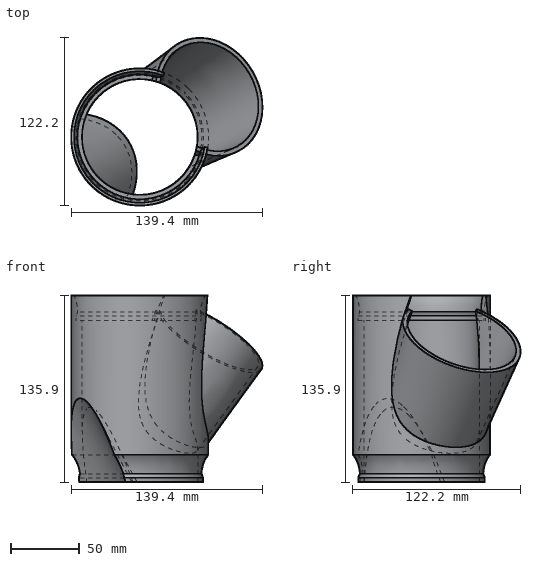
import cadquery as cq
import math

height = 135.9
body_radius = 100.0 / 2
bore_radius = 84.0 / 2

joint_length = 20.1
spigot_radius = 46.1
waist_radius = 45.0
waist_height = 6.1
bead_height = 3.2
socket_mouth_radius = 47.8
socket_depth = 18.1
socket_clearance = 0.3

port_heading = 30
port_elevation = 54.5
port_half_angle = 4.0
port_mouth_radius = 44.9
port_wall = 3.5
port_mouth_offset = 58.4
port_mouth_height = 106.0

recess_mouth_radius = 44.3
stack_pitch = height - joint_length

inward_reach = 139.4
outward_reach = 139.4


def joint_solid(mouth_radius, length, clearance):
    """Solid of revolution with a flared shoulder, a waist and a bead at its foot."""
    waist = waist_radius + clearance
    bead = spigot_radius + clearance
    rise = length - waist_height
    flare = mouth_radius - waist
    arc_radius = (rise**2 + flare**2) / (2 * flare)
    half_sweep = math.asin(rise / arc_radius) / 2
    middle = (
        waist + arc_radius * (1 - math.cos(half_sweep)),
        waist_height + arc_radius * math.sin(half_sweep),
    )
    return (
        cq.Workplane("XZ")
        .moveTo(0, 0)
        .lineTo(bead, 0)
        .lineTo(bead, bead_height)
        .lineTo(waist, waist_height)
        .threePointArc(middle, (mouth_radius, length))
        .lineTo(0, length)
        .close()
        .revolve(360, (0, 0, 0), (0, 1, 0))
    )


def port_cone(mouth_radius, inward, outward):
    """Cone on the port axis, running the given distances inward and outward of the mouth."""
    elevation = math.radians(port_elevation)
    direction = cq.Vector(math.cos(elevation), 0, math.sin(elevation))
    mouth = cq.Vector(port_mouth_offset, 0, port_mouth_height)
    taper = math.tan(math.radians(port_half_angle))
    cone = cq.Solid.makeCone(
        mouth_radius - inward * taper,
        mouth_radius + outward * taper,
        inward + outward,
        mouth - direction * inward,
        direction,
    )
    return cq.Workplane(cone).rotate((0, 0, 0), (0, 0, 1), port_heading)


def move_to_recess(cone):
    """Half a turn about the tube and one stacking pitch down."""
    return cone.rotate((0, 0, 0), (0, 0, 1), 180).translate((0, 0, -stack_pitch))


def cylinder(radius):
    return cq.Workplane("XY").circle(radius).extrude(height)


bore = cylinder(bore_radius)
spigot = joint_solid(body_radius, joint_length, 0)
barrel = cq.Workplane("XY").workplane(offset=joint_length).circle(body_radius).extrude(stack_pitch)
envelope = barrel.union(spigot)

socket = joint_solid(socket_mouth_radius, socket_depth, socket_clearance)
socket = socket.translate((0, 0, height - socket_depth))
tube = envelope.cut(bore).cut(socket)

port = port_cone(port_mouth_radius, inward_reach, 0).cut(bore)
port_opening = port_cone(port_mouth_radius - port_wall, inward_reach, 0)
rim_opening = port_cone(port_mouth_radius, 0, outward_reach)
port_side = (
    cq.Workplane("XY")
    .box(2 * height, 2 * height, height, centered=(False, True, False))
    .rotate((0, 0, 0), (0, 0, 1), port_heading)
)
housing = tube.union(port.intersect(port_side)).cut(port_opening.intersect(port_side))
housing = housing.cut(rim_opening)

recess = move_to_recess(port_cone(recess_mouth_radius, inward_reach, outward_reach))
recess_shell = move_to_recess(port_cone(recess_mouth_radius + port_wall, inward_reach, outward_reach))
recess_wall = recess_shell.intersect(envelope)

result = housing.union(recess_wall).cut(recess)